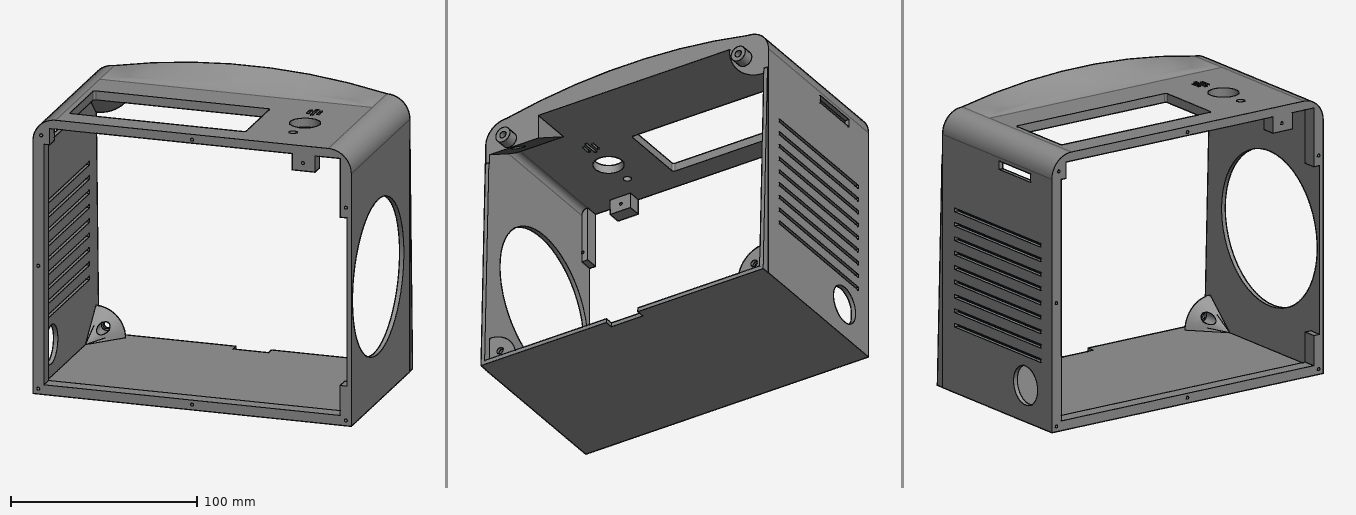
import cadquery as cq
width = 180.0
body_depth = 99.7
body_height = 155.5
overall_height = 163.5
corner_radius = 13.0
wall = 2.5
inner_right = width - wall
roof = 5.0
cavity_radius = 3.6
inner_top = body_height - roof

lip_depth = 8.0
lip_side = 6.3
lip_bottom = 5.5
lip_corner_width = 9.5
lip_corner_bottom = 141.3
lip_gap_bottom = 22.5
lip_gap_top = 117.4
tab_left = 146.5
tab_right = 159.5
tab_bottom = 141.3

hump_front = 74.7

tail_depth = 104.8
tail_top = 130.7
tail_top_depth = 100.5
tail_inset = 0.2
tail_gap_width = 20.0

lower_gusset_radius = 16.7
lower_gusset_length = 18.0
upper_gusset_radius = 22.5
upper_gusset_length = 22.5
wedge_bottom = 136.0
wedge_length = 25.2
pin_end = 106.2
pin_diameter = 9.0
pin_inset = 15.1
pin_height = 141.1
lower_screw_inset = 9.2
screw_hole = 4.0
screw_head = 6.0
screw_head_seat = 2.0

pilot = 1.6
pilot_inset = 3.0
corner_pilot = (4.7, 146.2)
tab_pilot = (152.6, 145.8)
left_pilot_height = 72.4
right_pilot_height = 123.1

window_left = 16.2
window_right = 115.7
window_front = 13.5
window_back = 54.9
window_radius = 1.17
button_diameter = 16.7
button_place = (141.3, 37.8)
led_diameter = 4.5
led_place = (140.2, 20.7)
bar_center = (140.2, 57.0)
bar_width = 1.5
bar_pitch = 2.9
bar_lengths = (6.0, 10.0, 6.0)

speaker_diameter = 87.1
speaker_y = 45.7
vent_count = 9
vent_pitch = 8.1
vent_height = 2.0
vent_front = 10.3
vent_back = 88.7
vent_center_height = 70.4
card_front = 19.6
card_back = 48.0
card_bottom = 135.9
card_top = 140.5
socket_diameter = 22.0
socket_y = 24.0
socket_z = 20.5


def box(x0, x1, y0, y1, z0, z1):
    """Axis-aligned block between two opposite corners."""
    return cq.Workplane("XY").box(x1 - x0, y1 - y0, z1 - z0, centered=False).translate((x0, y0, z0))


def rod_y(x, z, diameter, y0, y1):
    """Cylinder along Y from y0 to y1."""
    return cq.Workplane("XZ", origin=(x, y0, z)).circle(diameter / 2).extrude(y0 - y1)


def rod_x(y, z, diameter, x0, x1):
    """Cylinder along X from x0 to x1."""
    return cq.Workplane("YZ", origin=(x0, y, z)).circle(diameter / 2).extrude(x1 - x0)


def rounded_prism(inset, top, radius):
    """Body-long block with rounded upper edges, inset from the sides and floor."""
    return box(inset, width - inset, 0, body_depth, inset, top).edges("|Y and >Z").fillet(radius)


outer = rounded_prism(0, body_height, corner_radius)
cavity = rounded_prism(wall, inner_top, cavity_radius)


def front_lip():
    """Rim inside the front opening, with a filled corner, a tab and a relieved right side."""
    lip = box(0, width, 0, lip_depth, 0, body_height)
    lip = lip.cut(box(lip_side, width - lip_side, 0, lip_depth, lip_bottom, inner_top))
    lip = lip.cut(box(width - lip_side, inner_right, 0, lip_depth, lip_gap_bottom, lip_gap_top))
    lip = lip.union(box(0, lip_corner_width, 0, lip_depth, lip_corner_bottom, body_height))
    lip = lip.union(box(tab_left, tab_right, 0, lip_depth, tab_bottom, body_height))
    return lip.intersect(outer)


def hump():
    """Roof swelling ruled from a straight front edge to an arched back edge."""
    left, right = corner_radius, width - corner_radius
    front_left = cq.Vector(left, hump_front, body_height)
    front_right = cq.Vector(right, hump_front, body_height)
    back_left = cq.Vector(left, body_depth, body_height)
    back_right = cq.Vector(right, body_depth, body_height)
    crown = cq.Vector(width / 2, body_depth, overall_height)
    front_edge = cq.Edge.makeLine(front_left, front_right)
    back_edge = cq.Edge.makeLine(back_left, back_right)
    arch = cq.Edge.makeThreePointArc(back_left, crown, back_right)
    top = cq.Face.makeRuledSurface(front_edge, arch)
    bottom = cq.Face.makeRuledSurface(front_edge, back_edge)
    back = cq.Face.makeFromWires(cq.Wire.assembleEdges([arch, back_edge]))
    return cq.Workplane(cq.Solid.makeSolid(cq.Shell.makeShell([top, bottom, back])))


def tail():
    """Tapered extension of the floor and side walls, with a central gap in the floor."""
    profile = [(body_depth, 0), (tail_depth, 0), (tail_top_depth, tail_top), (body_depth, tail_top)]
    wedge = cq.Workplane("YZ", origin=(tail_inset, 0, 0)).polyline(profile).close()
    wedge = wedge.extrude(width - 2 * tail_inset)
    wedge = wedge.cut(box(wall, inner_right, body_depth, tail_depth, wall, tail_top))
    gap_left = (width - tail_gap_width) / 2
    return wedge.cut(box(gap_left, gap_left + tail_gap_width, body_depth, tail_depth, 0, wall))


def gusset(x, z, radius, length):
    """Cone around a cavity corner, widening to the back end of the tube."""
    apex = cq.Vector(x, body_depth - length, z)
    cone = cq.Solid.makeCone(0, radius, length, apex, cq.Vector(0, 1, 0))
    return cq.Workplane(cone).intersect(outer)


def upper_right_wedge():
    """Sloped block under the roof that carries the right pin."""
    back_top = (body_depth, inner_top)
    profile = [back_top, (body_depth, wedge_bottom), (body_depth - wedge_length, inner_top)]
    prism = cq.Workplane("YZ").polyline(profile).close().extrude(width - tab_left)
    return prism.translate((tab_left, 0, 0)).intersect(outer)


body = outer.cut(cavity).union(front_lip()).union(hump()).union(tail())
body = body.union(gusset(wall, wall, lower_gusset_radius, lower_gusset_length))
body = body.union(gusset(inner_right, wall, lower_gusset_radius, lower_gusset_length))
body = body.union(gusset(wall, inner_top, upper_gusset_radius, upper_gusset_length))
body = body.union(upper_right_wedge())

for x in (pin_inset, width - pin_inset):
    body = body.union(rod_y(x, pin_height, pin_diameter, body_depth, pin_end))
screw_places = [
    (pin_inset, pin_height),
    (width - pin_inset, pin_height),
    (lower_screw_inset, lower_screw_inset),
    (width - lower_screw_inset, lower_screw_inset),
]
for x, z in screw_places:
    body = body.cut(rod_y(x, z, screw_hole, lip_depth, pin_end))
    body = body.cut(rod_y(x, z, screw_head, lip_depth, body_depth - screw_head_seat))

pilot_places = [
    (pilot_inset, pilot_inset),
    (width / 2, pilot_inset),
    (width - pilot_inset, pilot_inset),
    (width / 2, body_height - pilot_inset),
    (pilot_inset, left_pilot_height),
    (width - pilot_inset, right_pilot_height),
    corner_pilot,
    tab_pilot,
]
for x, z in pilot_places:
    body = body.cut(rod_y(x, z, pilot, 0, lip_depth))

window = box(window_left, window_right, window_front, window_back, inner_top, body_height)
body = body.cut(window.edges("|Z").fillet(window_radius))
for (x, y), diameter in ((button_place, button_diameter), (led_place, led_diameter)):
    hole = cq.Workplane("XY", origin=(x, y, inner_top)).circle(diameter / 2).extrude(roof)
    body = body.cut(hole)
for index, length in enumerate(bar_lengths):
    x = bar_center[0] + (index - (len(bar_lengths) - 1) / 2) * bar_pitch - bar_width / 2
    y = bar_center[1] - length / 2
    body = body.cut(box(x, x + bar_width, y, y + length, inner_top, body_height))

for index in range(vent_count):
    z = vent_center_height + (index - (vent_count - 1) / 2) * vent_pitch - vent_height / 2
    body = body.cut(box(0, wall, vent_front, vent_back, z, z + vent_height))
body = body.cut(box(0, wall, card_front, card_back, card_bottom, card_top))
body = body.cut(rod_x(socket_y, socket_z, socket_diameter, 0, wall))

body = body.cut(rod_x(speaker_y, vent_center_height, speaker_diameter, inner_right, width))

result = body